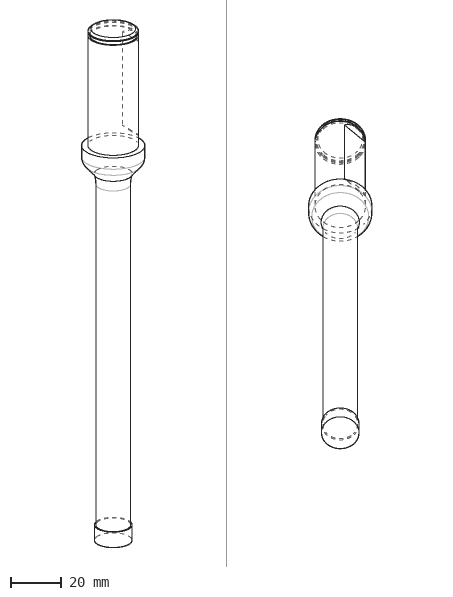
import cadquery as cq
import math

total_length = 221.0
tip_diameter = 14.8
tip_band_height = 6.6
point_angle = 148.0

tube_diameter = 13.7
flange_diameter = 25.0
shank_diameter = 20.0
flange_top = 171.0
flange_band_height = 4.9
flange_round_radius = 4.5
flange_round_angle = 45.0
neck_top = 159.0
neck_bottom = 154.5
neck_top_radius = 7.5

end_chamfer_width = 1.0
end_chamfer_height = 0.9
groove_top_offset = 1.3
groove_height = 1.5
groove_depth = 0.7

flat_offset = 8.2
flat_bottom = 175.7
flat_top = 215.7
flat_end_angle = 45.0

tip_radius = tip_diameter / 2
tube_radius = tube_diameter / 2
flange_radius = flange_diameter / 2
shank_radius = shank_diameter / 2
band_bottom = flange_top - flange_band_height
point_height = tip_radius / math.tan(math.radians(point_angle / 2))
joint_height = point_height + tip_band_height


def make_drill_tip():
    """Cylindrical cutting head with a conical point."""
    return (
        cq.Workplane("XZ")
        .moveTo(0, 0)
        .lineTo(tip_radius, point_height)
        .lineTo(tip_radius, joint_height)
        .lineTo(0, joint_height)
        .close()
        .revolve(360, (0, 0, 0), (0, 1, 0))
    )


def flange_round_point(turn):
    """Point on the rounded lower rim of the flange, turned down from its band."""
    angle = math.radians(turn)
    return (
        flange_radius - flange_round_radius * (1 - math.cos(angle)),
        band_bottom - flange_round_radius * math.sin(angle),
    )


def neck_arc_middle():
    """Middle point of the concave neck arc, which leaves the tube tangentially."""
    radial_change = neck_top_radius - tube_radius
    height_change = neck_top - neck_bottom
    half_turn = math.atan(radial_change / height_change)
    arc_radius = (radial_change**2 + height_change**2) / (2 * radial_change)
    return (
        tube_radius + arc_radius * (1 - math.cos(half_turn)),
        neck_bottom + arc_radius * math.sin(half_turn),
    )


def make_turned_body():
    """Tube, flared flange and shank turned about Z."""
    return (
        cq.Workplane("XZ")
        .moveTo(0, joint_height)
        .lineTo(tube_radius, joint_height)
        .lineTo(tube_radius, neck_bottom)
        .threePointArc(neck_arc_middle(), (neck_top_radius, neck_top))
        .lineTo(*flange_round_point(flange_round_angle))
        .threePointArc(flange_round_point(flange_round_angle / 2), (flange_radius, band_bottom))
        .lineTo(flange_radius, flange_top)
        .lineTo(shank_radius, flange_top)
        .lineTo(shank_radius, total_length - end_chamfer_height)
        .lineTo(shank_radius - end_chamfer_width, total_length)
        .lineTo(0, total_length)
        .close()
        .revolve(360, (0, 0, 0), (0, 1, 0))
    )


def make_end_groove():
    """Shallow ring cut around the back end of the shank."""
    groove_bottom = total_length - groove_top_offset - groove_height
    return (
        cq.Workplane("XY", origin=(0, 0, groove_bottom))
        .circle(flange_radius)
        .circle(shank_radius - groove_depth)
        .extrude(groove_height)
    )


def make_flat_cut():
    """Material removed to leave the clamping flat and its sloping ends."""
    cut_depth = flange_radius - flat_offset
    end_run = cut_depth * math.tan(math.radians(flat_end_angle))
    return (
        cq.Workplane("YZ")
        .moveTo(flat_offset, flat_bottom)
        .lineTo(flange_radius, flat_bottom - end_run)
        .lineTo(flange_radius, flat_top + end_run)
        .lineTo(flat_offset, flat_top)
        .close()
        .extrude(flange_radius, both=True)
    )


drill_tip = make_drill_tip()
tool_body = make_turned_body().cut(make_end_groove()).cut(make_flat_cut())

result = cq.Compound.makeCompound([tool_body.val(), drill_tip.val()])